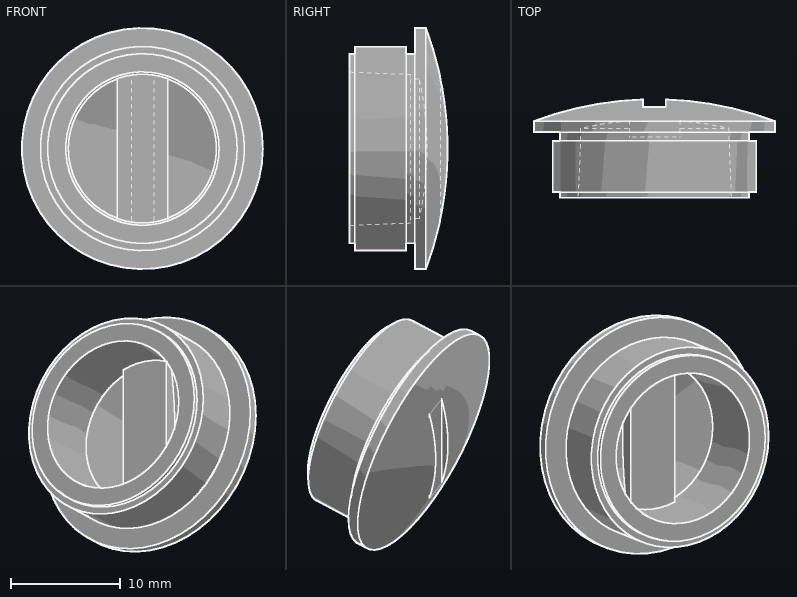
import cadquery as cq
import math

flange_radius = 11.0
thread_radius = 9.3
neck_radius = 8.65
lip_length = 0.5
thread_end = 5.2
flange_start = 5.98
flange_end = 7.0
overall_length = 9.0

bore_mouth_radius = 7.0
bore_inner_radius = 6.75
crown_thickness = 1.85

bridge_width = 4.6
bridge_face = 5.57
slot_width = 2.05
slot_depth = 0.7

dome_height = overall_length - flange_end
dome_radius = (flange_radius**2 + dome_height**2) / (2 * dome_height)
dome_center = overall_length - dome_radius
ceiling_radius = dome_radius - crown_thickness


def sphere_height(radius, distance):
    """Y of a crown sphere at the given distance from the axis."""
    return dome_center + math.sqrt(radius**2 - distance**2)


def revolve_about_y(profile):
    return profile.close().revolve(360, (0, 0, 0), (0, 1, 0))


def make_body():
    mid = flange_radius / 2
    profile = (
        cq.Workplane("XY")
        .lineTo(neck_radius, 0)
        .lineTo(neck_radius, lip_length)
        .lineTo(thread_radius, lip_length)
        .lineTo(thread_radius, thread_end)
        .lineTo(neck_radius, thread_end)
        .lineTo(neck_radius, flange_start)
        .lineTo(flange_radius, flange_start)
        .lineTo(flange_radius, flange_end)
        .threePointArc((mid, sphere_height(dome_radius, mid)), (0, overall_length))
    )
    return revolve_about_y(profile)


def make_cavity():
    """Tapered bore with a ceiling that follows the dome, split by the bridge."""
    mid = bore_inner_radius / 2
    profile = (
        cq.Workplane("XY")
        .lineTo(bore_mouth_radius, 0)
        .lineTo(bore_inner_radius, sphere_height(ceiling_radius, bore_inner_radius))
        .threePointArc(
            (mid, sphere_height(ceiling_radius, mid)),
            (0, sphere_height(ceiling_radius, 0)),
        )
    )
    bridge = cq.Workplane("XY").box(
        bridge_width, overall_length, 2 * flange_radius
    ).translate((0, bridge_face + overall_length / 2, 0))
    return revolve_about_y(profile).cut(bridge)


def make_slot():
    """Straight driver slot across the crown, along Z."""
    return cq.Workplane("XY").box(
        slot_width, 2 * slot_depth, 2 * flange_radius
    ).translate((0, overall_length, 0))


result = make_body().cut(make_cavity()).cut(make_slot())